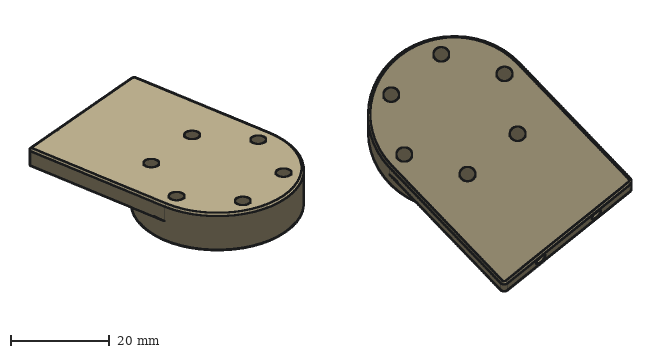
import cadquery as cq
import math

width = 35.0
disc_radius = width / 2
plate_length = 35.0
plate_thickness = 4.0
total_height = 9.0
edge_chamfer = 0.5
corner_radius = 1.0

bolt_hole_diameter = 3.2
bolt_hole_count = 6
bolt_circle_radius = 13.5
bolt_start_angle = 30.0

end_hole_diameter = 2.5
end_hole_spacing = 15.0
end_hole_depth = 10.0
drill_point_angle = 118.0
drill_tip_length = end_hole_diameter / 2 / math.tan(math.radians(drill_point_angle / 2))

plate_bottom = total_height - plate_thickness
end_hole_height = plate_bottom + plate_thickness / 2


def make_plate():
    """Plate with a square end at -X and a round end at +X."""
    plate = (
        cq.Workplane("XY", origin=(0, 0, plate_bottom))
        .moveTo(0, -disc_radius)
        .threePointArc((disc_radius, 0), (0, disc_radius))
        .lineTo(-plate_length, disc_radius)
        .lineTo(-plate_length, -disc_radius)
        .close()
        .extrude(plate_thickness)
    )
    plate = plate.edges("|Z and <X").fillet(corner_radius)
    return plate.faces(">Z").edges().chamfer(edge_chamfer)


def make_disc():
    """Disc under the round end, flush with it, chamfered at the bottom."""
    disc = cq.Workplane("XY").circle(disc_radius).extrude(plate_bottom)
    return disc.faces("<Z").edges().chamfer(edge_chamfer)


def make_bolt_holes():
    """Cutting cylinders for the ring of through holes."""
    return (
        cq.Workplane("XY")
        .polarArray(bolt_circle_radius, bolt_start_angle, 360, bolt_hole_count)
        .circle(bolt_hole_diameter / 2)
        .extrude(total_height)
    )


def make_end_hole(y):
    """Cutting body for one end hole: a drilled bore with a conical tip."""
    radius = end_hole_diameter / 2
    return (
        cq.Workplane("XY", origin=(-plate_length, y, end_hole_height))
        .lineTo(0, radius)
        .lineTo(end_hole_depth, radius)
        .lineTo(end_hole_depth + drill_tip_length, 0)
        .close()
        .revolve(360, (0, 0, 0), (1, 0, 0))
    )


result = make_plate().union(make_disc()).cut(make_bolt_holes())
for side in (-1, 1):
    result = result.cut(make_end_hole(side * end_hole_spacing / 2))